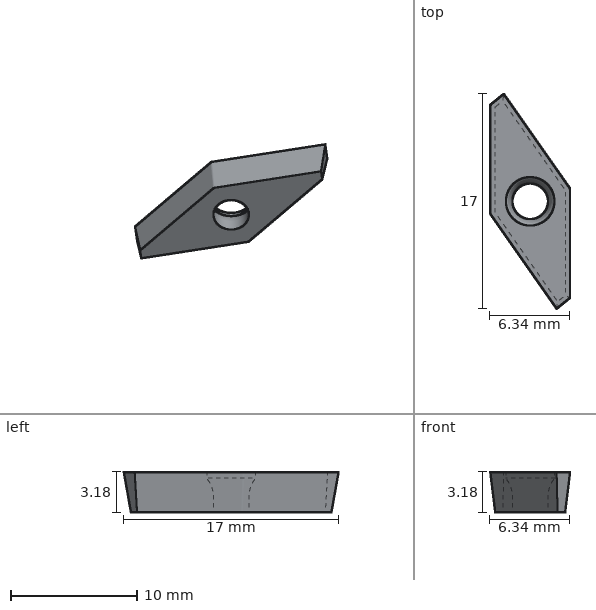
import cadquery as cq
import math

width = 6.34
length = 17.03
thickness = 3.18
point_angle = 35.0
relief_angle = 7.0
corner_radius = 0.25
tip_flat_angle = 38.9

mouth_radius = 1.925
mouth_depth = 0.44
shoulder_radius = 1.81
shoulder_depth = 0.67
seat_radius = 1.74
seat_depth = 0.75
bore_radius = 1.40
bore_depth = 1.98

half_width = width / 2
half_length = length / 2
point = math.radians(point_angle)
tip_flat = math.radians(tip_flat_angle)
relief_inset = thickness * math.tan(math.radians(relief_angle))


def slanted_flank_y(x, inset):
    """Y of the slanted +X+Y flank at a given X, with the flank moved inward by inset."""
    return (half_width - inset - x * math.cos(point)) / math.sin(point)


def tip_flat_y(x, inset):
    """Y of the flat across the +Y tip at a given X, with the flat moved inward by inset."""
    tip_x = (half_width - half_length * math.sin(point)) / math.cos(point)
    return half_length + (x - tip_x) * math.tan(tip_flat) - inset / math.cos(tip_flat)


def outline(inset):
    """Six corners of the truncated rhombus with every side moved inward by inset."""
    side = half_width - inset
    flank_at_zero = slanted_flank_y(0, inset)
    flat_at_zero = tip_flat_y(0, inset)
    tip_x = (flank_at_zero - flat_at_zero) / (math.tan(tip_flat) + 1 / math.tan(point))
    upper_corners = [
        (side, slanted_flank_y(side, inset)),
        (tip_x, tip_flat_y(tip_x, inset)),
        (-side, tip_flat_y(-side, inset)),
    ]
    return upper_corners + [(-x, -y) for x, y in upper_corners]


def relieved_body():
    """Tapered body with its top face at Z = thickness and rounded obtuse corners."""
    body = (
        cq.Workplane("XY")
        .polyline(outline(relief_inset))
        .close()
        .workplane(offset=thickness)
        .polyline(outline(0))
        .close()
        .loft(ruled=True)
    )
    mid_outline = outline(relief_inset / 2)
    obtuse_corners = (mid_outline[0], mid_outline[3])
    for x, y in obtuse_corners:
        edge = cq.selectors.NearestToPointSelector((x, y, thickness / 2))
        body = body.edges(edge).fillet(corner_radius)
    return body


def screw_hole():
    """Revolved hole: straight mouth, tapered shoulder, curved screw seat and straight bore."""
    seat_drop = bore_depth - seat_depth
    seat_step = seat_radius - bore_radius
    arc_radius = (seat_drop**2 + seat_step**2) / (2 * seat_step)
    half_sweep = math.asin(seat_drop / arc_radius) / 2
    arc_middle = (
        bore_radius + arc_radius * (1 - math.cos(half_sweep)),
        thickness - bore_depth + arc_radius * math.sin(half_sweep),
    )
    return (
        cq.Workplane("XZ")
        .moveTo(0, 0)
        .lineTo(bore_radius, 0)
        .lineTo(bore_radius, thickness - bore_depth)
        .threePointArc(arc_middle, (seat_radius, thickness - seat_depth))
        .lineTo(shoulder_radius, thickness - shoulder_depth)
        .lineTo(mouth_radius, thickness - mouth_depth)
        .lineTo(mouth_radius, thickness)
        .lineTo(0, thickness)
        .close()
        .revolve(360, (0, 0, 0), (0, 1, 0))
    )


result = relieved_body().cut(screw_hole())